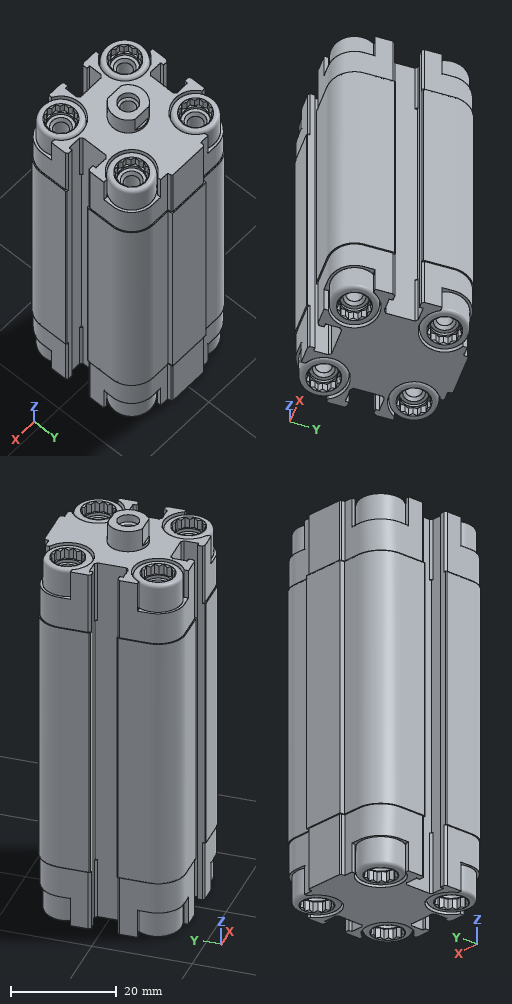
import cadquery as cq
import math

total_length = 82.5
rod_projection = 4.45
cap_length = 12.6
barrel_half = 14.5
cap_inset = 0.25

boss_center = 9.0
boss_diameter = 9.5
boss_rim_diameter = 8.0
boss_clearance_diameter = 10.0
boss_recess_depth = 6.0
boss_drop = 0.2
boss_recess_start = 6.7

socket_points = 12
socket_tip_radius = 3.4
socket_depth = 2.2
socket_bore_diameter = 5.7
socket_bore_depth = 2.9
screw_cone_diameter = 4.3
screw_cone_depth = 3.6
screw_hole_diameter = 3.2

slot_mouth_half = 2.6
slot_half = 3.4
slot_floor = 9.5
slot_lip_inner = 12.9
barrel_lip_chamfer = (0.25, 0.2)
cap_lip_chamfer = (0.5, 0.3)
cap_floor_chamfer = 0.5

barrel_ridge_height = 15.5
barrel_ridge_top = 4.7
cap_ridge_top = 4.5
cap_ridge_chamfer = 0.25
ridge_flare = 0.2

rod_diameter = 8.0
rod_across_flats = 7.0
rod_flat_length = 3.8
rod_counterbore_diameter = 4.3
rod_counterbore_depth = 1.6
rod_cone_depth = 1.9
rod_hole_diameter = 3.2
rod_hole_depth = 9.9
drill_tip_angle = 118.0

housing_length = total_length - rod_projection
barrel_length = housing_length - 2 * cap_length
cap_half = barrel_half - cap_inset
cap_ridge_height = barrel_ridge_height - cap_inset
barrel_corner = barrel_half - boss_center
cap_corner = cap_half - boss_center
cap_start = housing_length - cap_length
recess_floor = housing_length - boss_recess_depth
boss_top = housing_length - boss_drop
boss_fillet = (boss_diameter - boss_rim_diameter) / 2
boss_places = [(x, y) for x in (-boss_center, boss_center) for y in (-boss_center, boss_center)]

socket_inner_radius = socket_tip_radius * math.cos(math.pi / 6) / math.cos(math.pi / socket_points)
socket_chamfer = socket_tip_radius - socket_inner_radius


def rounded_block(half_width, corner_radius, start, length):
    block = cq.Workplane("XY").workplane(offset=start).rect(2 * half_width, 2 * half_width).extrude(length)
    return block.edges("|Z").fillet(corner_radius)


def ridge(base, top, top_half, start, length):
    """Ridge on +Y whose sides spread slightly toward its base."""
    base_half = top_half + ridge_flare
    outline = [
        (-base_half, 0),
        (-base_half, base),
        (-top_half, top),
        (top_half, top),
        (base_half, base),
        (base_half, 0),
    ]
    return cq.Workplane("XY").workplane(offset=start).polyline(outline).close().extrude(length)


def slot_cutter(face, lip_chamfer, start, length):
    """T-slot opening toward -Y through a block face at that distance from the axis."""
    chamfer_width, chamfer_depth = lip_chamfer
    right_side = [
        (slot_mouth_half + chamfer_width, -face),
        (slot_mouth_half, -face + chamfer_depth),
        (slot_mouth_half, -slot_lip_inner),
        (slot_half, -slot_lip_inner),
        (slot_half, -slot_floor),
    ]
    left_side = [(-x, y) for x, y in reversed(right_side)]
    outline = right_side + left_side
    return cq.Workplane("XY").workplane(offset=start).polyline(outline).close().extrude(length)


def cut_slots(body, cutter):
    for angle in (-90, 0, 90):
        body = body.cut(cutter.rotate((0, 0, 0), (0, 0, 1), angle))
    return body


def make_barrel():
    span = (cap_length, barrel_length)
    body = rounded_block(barrel_half, barrel_corner, *span)
    body = body.union(ridge(barrel_half, barrel_ridge_height, barrel_ridge_top, *span))
    cutter = slot_cutter(barrel_half, barrel_lip_chamfer, *span)
    return cut_slots(body, cutter)


def boss_cylinder(diameter, top):
    """Cylinder around one corner screw, from the recess floor up to the given level."""
    return (
        cq.Workplane("XY")
        .workplane(offset=recess_floor)
        .center(boss_center, boss_center)
        .circle(diameter / 2)
        .extrude(top - recess_floor)
    )


def corner_recess():
    """Material removed around one boss: the open corner and the clearance gap."""
    size = barrel_half - boss_recess_start
    middle = boss_recess_start + size / 2
    corner = (
        cq.Workplane("XY")
        .workplane(offset=recess_floor)
        .center(middle, middle)
        .rect(size, size)
        .extrude(boss_recess_depth)
    )
    boss = boss_cylinder(boss_diameter, boss_top).faces(">Z").edges().fillet(boss_fillet)
    return corner.union(boss_cylinder(boss_clearance_diameter, housing_length)).cut(boss)


def socket_star():
    """Twelve-point star prism at the top of a screw socket."""
    points = []
    for step in range(2 * socket_points):
        radius = socket_inner_radius if step % 2 else socket_tip_radius
        angle = math.pi * step / socket_points
        points.append((radius * math.cos(angle), radius * math.sin(angle)))
    star = cq.Workplane("XY").workplane(offset=boss_top - socket_depth).polyline(points).close()
    return star.extrude(socket_depth)


def screw_socket():
    """Socket, bore and countersink of one screw, on the Z axis at the top end."""
    top = boss_top
    profile = [
        (0, top),
        (socket_tip_radius, top),
        (socket_inner_radius, top - socket_chamfer),
        (socket_bore_diameter / 2, top - socket_chamfer),
        (socket_bore_diameter / 2, top - socket_bore_depth),
        (screw_cone_diameter / 2, top - socket_bore_depth),
        (screw_hole_diameter / 2, top - screw_cone_depth),
        (0, top - screw_cone_depth),
    ]
    bore = cq.Workplane("XZ").polyline(profile).close().revolve(360, (0, 0, 0), (0, 1, 0))
    return bore.union(socket_star())


def make_cap():
    span = (cap_start, cap_length)
    body = rounded_block(cap_half, cap_corner, *span)
    cap_ridge = ridge(cap_half, cap_ridge_height, cap_ridge_top, *span)
    cap_ridge = cap_ridge.faces(">Y").edges("|Z").chamfer(cap_ridge_chamfer)
    body = body.union(cap_ridge)
    cutter = slot_cutter(cap_half, cap_lip_chamfer, *span)
    cutter = cutter.edges("|Z").edges(">Y").chamfer(cap_floor_chamfer)
    body = cut_slots(body, cutter)
    recess = corner_recess()
    for quarter in range(4):
        body = body.cut(recess.rotate((0, 0, 0), (0, 0, 1), 90 * quarter))
    socket = screw_socket()
    for x, y in boss_places:
        body = body.cut(socket.translate((x, y, 0)))
    return body


def rod_cylinder(top):
    """Cylinder of the rod's diameter, from the bottom face of the top cap up to the given level."""
    disc = cq.Workplane("XY").workplane(offset=cap_start).circle(rod_diameter / 2)
    return disc.extrude(top - cap_start)


def make_housing():
    top_cap = make_cap()
    bottom_cap = top_cap.mirror("XY", (0, 0, housing_length / 2))
    body = make_barrel().union(top_cap).union(bottom_cap)
    screw_holes = cq.Workplane("XY").pushPoints(boss_places).circle(screw_hole_diameter / 2)
    body = body.cut(screw_holes.extrude(housing_length))
    return body.cut(rod_cylinder(housing_length))


def rod_hole():
    tip_height = rod_hole_diameter / 2 / math.tan(math.radians(drill_tip_angle / 2))
    profile = [
        (0, total_length),
        (rod_counterbore_diameter / 2, total_length),
        (rod_counterbore_diameter / 2, total_length - rod_counterbore_depth),
        (rod_hole_diameter / 2, total_length - rod_cone_depth),
        (rod_hole_diameter / 2, total_length - rod_hole_depth),
        (0, total_length - rod_hole_depth - tip_height),
    ]
    return cq.Workplane("XZ").polyline(profile).close().revolve(360, (0, 0, 0), (0, 1, 0))


def make_rod():
    flat_level = total_length - rod_flat_length
    body = rod_cylinder(total_length)
    flats = (
        cq.Workplane("XY")
        .workplane(offset=flat_level)
        .rect(2 * rod_diameter, 2 * rod_diameter)
        .rect(2 * rod_diameter, rod_across_flats)
        .extrude(rod_flat_length)
    )
    return body.cut(flats).cut(rod_hole())


housing = make_housing()
rod = make_rod()
result = cq.Compound.makeCompound([housing.val(), rod.val()])